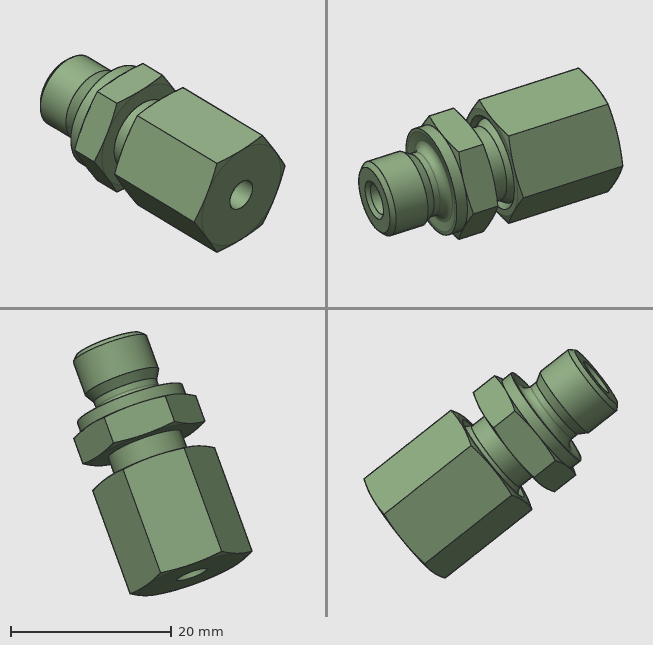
import cadquery as cq
import math


TOTAL_LENGTH = 31.0
ACROSS_FLATS = 14.0
ACROSS_CORNERS = ACROSS_FLATS / math.cos(math.radians(30))
HEX_BEVEL_ANGLE = 15.0

BORE_RADIUS = 2.0
BORE_CHAMFER = 0.5

THREAD_RADIUS = 4.87
THREAD_CHAMFER = 0.6
THREAD_LENGTH = 5.05
NECK_RADIUS = 4.15
NECK_START = 6.25
NECK_END = 7.1
NECK_FILLET = 1.15

FLANGE_RADIUS = 6.98
FLANGE_FACE = 8.0
SEAL_EDGE_RADIUS = 6.55
DISH_ROOT_X = NECK_END + NECK_FILLET
DISH_ROOT_RADIUS = NECK_RADIUS + NECK_FILLET

COLLAR_START = 9.5
COLLAR_END = 13.5

NUT_START = 16.5
SPIGOT_RADIUS = 5.52
SPIGOT_END = 23.5
NUT_COUNTERSINK = 0.62

SHANK_RADIUS = 4.85
SHANK_CONE_START = 16.1
SPIGOT_START = NUT_START + NUT_COUNTERSINK


def bevelled_hexagon(start, end):
    """Hexagonal bar along X with corners on +Y and -Y and both ends turned to a bevel."""
    length = end - start
    flat_radius = ACROSS_FLATS / 2
    corner_radius = ACROSS_CORNERS / 2
    bevel_length = (corner_radius - flat_radius) * math.tan(math.radians(HEX_BEVEL_ANGLE))
    bar = cq.Workplane("YZ", origin=(start, 0, 0)).polygon(6, ACROSS_CORNERS).extrude(length)
    turned_blank = (
        cq.Workplane("XY")
        .moveTo(start, 0)
        .lineTo(start, flat_radius)
        .lineTo(start + bevel_length, corner_radius)
        .lineTo(end - bevel_length, corner_radius)
        .lineTo(end, flat_radius)
        .lineTo(end, 0)
        .close()
        .revolve(360, (0, 0, 0), (1, 0, 0))
    )
    return bar.intersect(turned_blank)


def cylinder(start, end, radius):
    """Solid cylinder on the X axis."""
    return cq.Workplane("YZ", origin=(start, 0, 0)).circle(radius).extrude(end - start)


def turned_core():
    """Turned profile of the body: thread, neck, dished flange, shank and spigot."""
    fillet_offset = NECK_FILLET * math.sin(math.radians(45))
    fillet_middle = (NECK_END + fillet_offset, DISH_ROOT_RADIUS - fillet_offset)
    return (
        cq.Workplane("XY")
        .moveTo(0, 0)
        .lineTo(0, THREAD_RADIUS - THREAD_CHAMFER)
        .lineTo(THREAD_CHAMFER, THREAD_RADIUS)
        .lineTo(THREAD_LENGTH, THREAD_RADIUS)
        .lineTo(NECK_START, NECK_RADIUS)
        .lineTo(NECK_END, NECK_RADIUS)
        .threePointArc(fillet_middle, (DISH_ROOT_X, DISH_ROOT_RADIUS))
        .lineTo(FLANGE_FACE, SEAL_EDGE_RADIUS)
        .lineTo(FLANGE_FACE, FLANGE_RADIUS)
        .lineTo(COLLAR_START, FLANGE_RADIUS)
        .lineTo(COLLAR_START, SHANK_RADIUS)
        .lineTo(SHANK_CONE_START, SHANK_RADIUS)
        .lineTo(SPIGOT_START, SPIGOT_RADIUS)
        .lineTo(SPIGOT_END, SPIGOT_RADIUS)
        .lineTo(SPIGOT_END, 0)
        .close()
        .revolve(360, (0, 0, 0), (1, 0, 0))
    )


def countersink(start, hole_radius, depth):
    """45 degree cone that opens a hole towards -X at its starting face."""
    return (
        cq.Workplane("XY")
        .moveTo(start, 0)
        .lineTo(start, hole_radius + depth)
        .lineTo(start + depth, hole_radius)
        .lineTo(start + depth, 0)
        .close()
        .revolve(360, (0, 0, 0), (1, 0, 0))
    )


def make_fitting_body(bore):
    collar = bevelled_hexagon(COLLAR_START, COLLAR_END)
    bore_mouth = countersink(0, BORE_RADIUS, BORE_CHAMFER)
    return turned_core().union(collar).cut(bore).cut(bore_mouth)


def make_nut(bore):
    recess = cylinder(NUT_START, SPIGOT_END, SPIGOT_RADIUS)
    recess_mouth = countersink(NUT_START, SPIGOT_RADIUS, NUT_COUNTERSINK)
    return bevelled_hexagon(NUT_START, TOTAL_LENGTH).cut(recess).cut(recess_mouth).cut(bore)


through_bore = cylinder(0, TOTAL_LENGTH, BORE_RADIUS)
fitting_body = make_fitting_body(through_bore)
nut = make_nut(through_bore)

result = cq.Compound.makeCompound([*fitting_body.solids().vals(), *nut.solids().vals()])